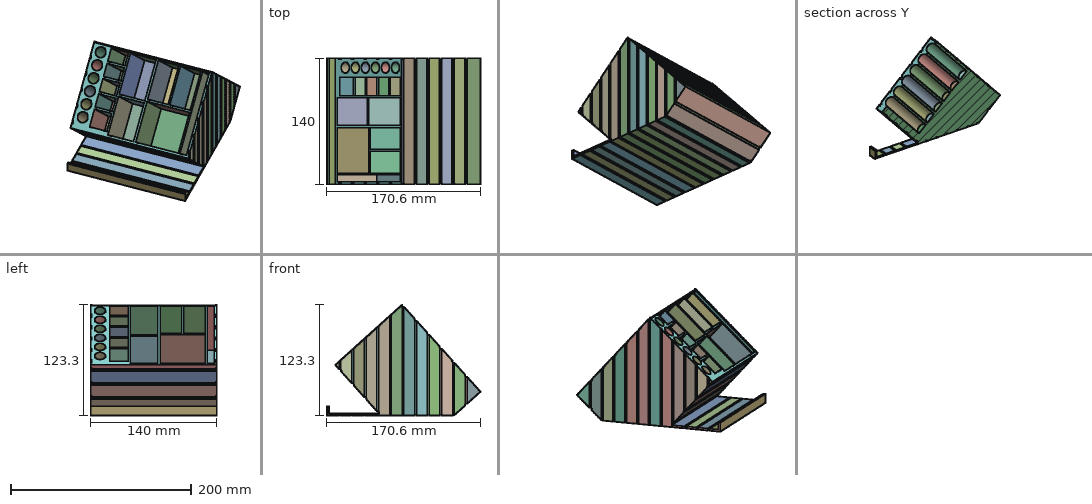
import cadquery as cq
import math

width = 140.0
tilt = 42.0
face_length = 100.0
block_depth = 130.0
block_low_corner_x = 9.26
block_height = 123.27

base_thickness = 2.5
lip_thickness = 2.5
lip_height = 10.5

groove_width = 2.0
groove_depth = 1.0
groove_pitch = 14.0
grooves_below_top_corner = 5
groove_count = 11

base_groove_count = 3
base_underside_groove_depth = 0.7
base_top_groove_width = 1.5
base_top_groove_depth = 0.4
base_top_groove_shift = -0.5

pocket_depth = 65.5
wall = 2.5
face_margin = 3.0

hole_diameter = 12.0
hole_count = 6
hole_pitch = 15.0
hole_row_y = 129.5

small_pocket_count = 4
small_pocket_length = 15.1
small_row = (98.5, 119.0)
end_pocket_length = 20.5

medium_row = (65.7, 96.2)
medium_split = 47.5

large_row = (12.5, 63.0)
large_pocket_end = 50.0
half_row_wall = 2.0

slot_row = (2.8, 10.5)

slope_x = math.cos(math.radians(tilt))
slope_z = math.sin(math.radians(tilt))
block_low_corner_z = block_height - face_length * slope_z
pocket_top = face_length - wall


def slope_point(up_slope, depth):
    """X and Z of a point given along the pocketed face and square into the block."""
    x = block_low_corner_x + up_slope * slope_x + depth * slope_z
    z = block_low_corner_z + up_slope * slope_z - depth * slope_x
    return (x, z)


def extrude_outline(points, y_start, y_end):
    """Prism along Y from an outline in X and Z."""
    plane = cq.Plane(origin=(0, y_start, 0), xDir=(1, 0, 0), normal=(0, -1, 0))
    return cq.Workplane(plane).polyline(points).close().extrude(y_start - y_end)


def box(x_range, y_range, z_range):
    size = [end - start for start, end in (x_range, y_range, z_range)]
    corner = (x_range[0], y_range[0], z_range[0])
    return cq.Workplane("XY").box(*size, centered=False).translate(corner)


top_corner_x = slope_point(face_length, 0)[0]
back_corner_x = slope_point(0, block_depth)[0]
part_end_x = slope_point(face_length, block_depth)[0]
block_toe_x = slope_point(0, block_low_corner_z / slope_x)[0]

first_groove_x = top_corner_x - grooves_below_top_corner * groove_pitch
groove_starts = [first_groove_x + i * groove_pitch for i in range(groove_count)]


def slope_bar(slope_range, depth_range, y_range):
    """Rectangular bar along Y, square to the pocketed face."""
    corners = [
        slope_point(slope_range[0], depth_range[0]),
        slope_point(slope_range[1], depth_range[0]),
        slope_point(slope_range[1], depth_range[1]),
        slope_point(slope_range[0], depth_range[1]),
    ]
    return extrude_outline(corners, *y_range)


def make_block():
    """Tilted block with its lowest corner cut level with the ground."""
    block = slope_bar((0, face_length), (0, block_depth), (0, width))
    above_ground = box((0, part_end_x), (0, width), (0, block_height))
    return block.intersect(above_ground)


def make_base():
    plate = box((0, block_toe_x), (0, width), (0, base_thickness))
    lip = box((0, lip_thickness), (0, width), (0, lip_height))
    return plate.union(lip)


def make_side_grooves():
    """Upright bands cut into both flat sides of the block."""
    grooves = []
    for x in groove_starts:
        for y in (0, width - groove_depth):
            grooves.append(box((x, x + groove_width), (y, y + groove_depth), (0, block_height)))
    return grooves


def make_tilted_grooves():
    """Bands across the three plain tilted faces, square to each face, between the side grooves."""
    y_range = (groove_depth, width - groove_depth)
    steep_width = groove_width / slope_z
    shallow_width = groove_width / slope_x
    grooves = []
    for x in groove_starts:
        if x < block_toe_x:
            start = (x - block_low_corner_x) / slope_z
            grooves.append(slope_bar((0, groove_depth), (start, start + steep_width), y_range))
        if x >= top_corner_x:
            start = (x - top_corner_x) / slope_z
            top_layer = (face_length - groove_depth, face_length)
            grooves.append(slope_bar(top_layer, (start, start + steep_width), y_range))
        if x > back_corner_x:
            start = (x - back_corner_x) / slope_x
            back_layer = (block_depth - groove_depth, block_depth)
            grooves.append(slope_bar((start, start + shallow_width), back_layer, y_range))
    return grooves


def make_block_floor_grooves():
    """Bands across the underside of the block where it rests on the ground."""
    grooves = []
    for x in groove_starts:
        if x > block_toe_x:
            grooves.append(box((x, x + groove_width), (0, width), (0, groove_depth)))
    return grooves


def make_base_grooves():
    """Shallow bands across both faces of the base plate."""
    grooves = []
    top_range = (base_thickness - base_top_groove_depth, base_thickness)
    for x in groove_starts[:base_groove_count]:
        top_start = x + base_top_groove_shift
        grooves.append(box((top_start, top_start + base_top_groove_width), (0, width), top_range))
        bottom_range = (x - groove_width / 2, x + groove_width / 2)
        grooves.append(box(bottom_range, (0, width), (0, base_underside_groove_depth)))
    return grooves


def make_joint_groove():
    """Half-width band under the plate, in front of the first full slat of the block."""
    x = groove_starts[base_groove_count]
    return box((x + groove_width / 2, x + groove_width), (0, width), (0, groove_depth))


def make_pocket(slope_range, y_range):
    return slope_bar(slope_range, (0, pocket_depth), y_range)


def make_small_pockets():
    pockets = []
    end = pocket_top
    for _ in range(small_pocket_count):
        pockets.append(make_pocket((end - small_pocket_length, end), small_row))
        end -= small_pocket_length + wall
    pockets.append(make_pocket((end - end_pocket_length, end), small_row))
    return pockets


def make_medium_pockets():
    return [
        make_pocket((face_margin, medium_split), medium_row),
        make_pocket((medium_split + wall, pocket_top), medium_row),
    ]


def make_large_pockets():
    middle = sum(large_row) / 2
    upper_range = (large_pocket_end + wall, pocket_top)
    return [
        make_pocket((face_margin, large_pocket_end), large_row),
        make_pocket(upper_range, (large_row[0], middle - half_row_wall / 2)),
        make_pocket(upper_range, (middle + half_row_wall / 2, large_row[1])),
    ]


def make_slot():
    return make_pocket((face_margin, pocket_top), slot_row)


def make_holes():
    holes = []
    direction = cq.Vector(slope_z, 0, -slope_x)
    for i in range(1, hole_count + 1):
        x, z = slope_point(i * hole_pitch, 0)
        mouth = cq.Vector(x, hole_row_y, z)
        hole = cq.Solid.makeCylinder(hole_diameter / 2, pocket_depth, mouth, direction)
        holes.append(cq.Workplane(hole))
    return holes


def cut_all(body, tools):
    for tool in tools:
        body = body.cut(tool)
    return body


block = cut_all(make_block(), make_side_grooves() + make_tilted_grooves() + make_block_floor_grooves())
base = cut_all(make_base(), make_base_grooves())
body = block.union(base).cut(make_joint_groove())
pockets = make_small_pockets() + make_medium_pockets() + make_large_pockets() + [make_slot()]
result = cut_all(body, pockets + make_holes())